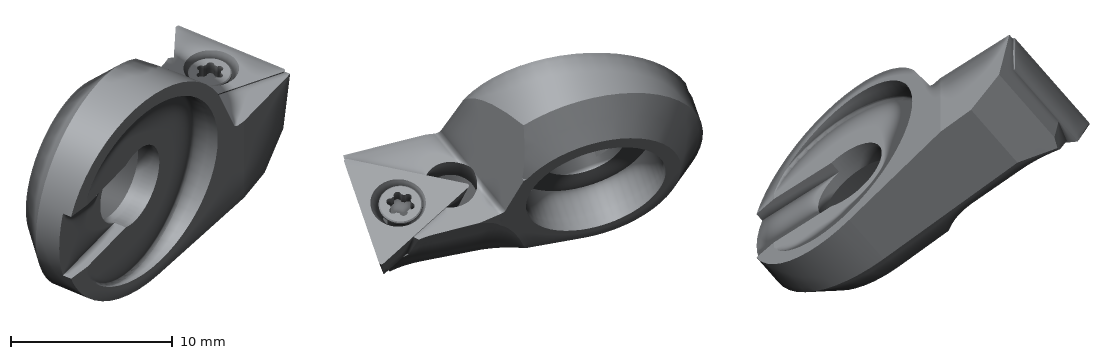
import cadquery as cq
import math


ring_radius = 7.5
edge_chamfer = 2.0
head_bore_diameter = 9.0
head_bore_depth = 3.0
through_bore_diameter = 5.5
recess_radius = 6.51
recess_floor_x = 4.55
recess_fillet = 0.2
key_slot_floor_x = 3.71
key_slot_width = 5.03

back_x = 6.82
back_corner_y = 8.95
back_angle = 8.9

arm_floor_z = -0.1
arm_top_z = 3.17
arm_root_y = 3.71
arm_end_y = 14.27
arm_end_low = (13.48, -3.98)
arm_bottom_y = 11.32
arm_bottom_angle = 7.8
arm_shoulder_y = 6.12
arm_shoulder_slope = 0.18

end_facet_y = 13.15
end_facet_skew = 0.3
end_facet_lean_angle = 11.0
seat_corner_x = -0.35
seat_corner_y = 11.5
seat_corner_size = 0.65

wall_y = 5.92
wall_skew = 0.33
wall_lean_angle = 20.5
wall_fillet = 0.42

side_x = -0.28
side_slope = 0.25
side_drift = 0.08
side_rear_y = 6.84
side_front_y = 10.4
side_rear_radius = 4.37
side_front_radius = 6.12
side_flare = 3.05

insert_x = 2.5
insert_y = 12.0
insert_inradius = 2.35
insert_thickness = 2.43
insert_flank_offset = 0.45
nose_radius = 0.164
nose_radius_bottom = 0.02
tip_relief_x = 2.9
tip_relief_y = 8.5
tip_relief_diameter = 3.3
tip_relief_depth = 1.64
drill_point_angle = 118.0

screw_offset = 0.15
screw_y = insert_y - screw_offset
countersink_diameter = 3.43
countersink_depth = 1.31
head_diameter = 2.7
head_top_diameter = 2.55
head_top_z = -0.17
head_edge_height = 0.07
head_rim_height = 0.13
insert_hole_diameter = 2.0
shank_diameter = 1.6
shank_end_z = -4.15
socket_core_diameter = 1.35
lobe_count = 6
lobe_radius = 0.25
lobe_pitch_radius = 0.65
socket_depth = 0.87

reach = 26.22


def frustum(x, y, z_bottom, z_top, d_bottom, d_top):
    """Vertical cone from d_bottom to d_top; an end of zero diameter is a point."""
    height = z_top - z_bottom
    cone = cq.Solid.makeCone(d_bottom / 2, d_top / 2, height, cq.Vector(x, y, z_bottom))
    return cq.Workplane(obj=cone)


def cylinder(x, y, z_bottom, z_top, diameter):
    """Vertical cylinder."""
    base = cq.Workplane("XY", origin=(x, y, z_bottom))
    return base.circle(diameter / 2).extrude(z_top - z_bottom)


def insert_section(wp, inradius, nose):
    """Rounded triangle pointing to -Y, drawn about the insert axis."""
    tangent = nose * math.sqrt(3)
    corner_radius = 2 * inradius
    corners = [
        (corner_radius * math.cos(math.radians(a)), corner_radius * math.sin(math.radians(a)))
        for a in (30, 150, 270)
    ]
    side = inradius * 2 * math.sqrt(3)
    for i, corner in enumerate(corners):
        previous = corners[i - 1]
        following = corners[(i + 1) % 3]
        start = [c + (p - c) * tangent / side for c, p in zip(corner, previous)]
        end = [c + (f - c) * tangent / side for c, f in zip(corner, following)]
        middle = [c * (corner_radius - nose) / corner_radius for c in corner]
        wp = wp.moveTo(*start) if i == 0 else wp.lineTo(*start)
        wp = wp.threePointArc(tuple(middle), tuple(end))
    return wp.close()


def make_insert_blank():
    top = insert_section(
        cq.Workplane("XY", origin=(insert_x, insert_y, 0)), insert_inradius, nose_radius)
    both = insert_section(
        top.workplane(offset=-insert_thickness),
        insert_inradius - insert_flank_offset, nose_radius_bottom)
    return both.loft(ruled=True)


def make_insert():
    at = (insert_x, insert_y)
    countersink = frustum(*at, -countersink_depth, 0, insert_hole_diameter, countersink_diameter)
    hole = cylinder(*at, -insert_thickness, -countersink_depth, insert_hole_diameter)
    return make_insert_blank().cut(countersink).cut(hole)


def make_socket():
    base = cq.Workplane("XY", origin=(insert_x, screw_y, head_top_z))
    socket = base.circle(socket_core_diameter / 2).extrude(-socket_depth)
    lobes = base.polarArray(lobe_pitch_radius, 0, 360, lobe_count).circle(lobe_radius)
    return socket.union(lobes.extrude(-socket_depth))


def make_screw():
    at = (insert_x, screw_y)
    edge_z = head_top_z - head_edge_height
    head_edge = frustum(*at, edge_z, head_top_z, head_diameter, head_top_diameter)
    rim_z = edge_z - head_rim_height
    rim = cylinder(*at, rim_z, edge_z, head_diameter)
    cone_slope = (countersink_diameter - insert_hole_diameter) / countersink_depth
    cone_end_z = rim_z - (head_diameter - shank_diameter) / cone_slope
    cone = frustum(*at, cone_end_z, rim_z, shank_diameter, head_diameter)
    shank = cylinder(*at, shank_end_z, cone_end_z, shank_diameter)
    return rim.union(head_edge).union(cone).union(shank).cut(make_socket())


def make_ring_stock():
    ring = cq.Workplane("YZ").circle(ring_radius).extrude(back_x)
    return ring.faces("<X").chamfer(edge_chamfer)


def make_arm_stock():
    """Arm whose underside is tangent to the ring and shares its edge chamfer."""
    angle = math.radians(arm_bottom_angle)
    tangent_point = (ring_radius * math.sin(angle), -ring_radius * math.cos(angle))
    bottom_z = tangent_point[1] + (arm_bottom_y - tangent_point[0]) * math.tan(angle)
    arm = (
        cq.Workplane("YZ")
        .polyline([(0, 0), (arm_root_y, arm_top_z), (arm_end_y, arm_top_z), (arm_end_y, arm_floor_z),
                   arm_end_low, (arm_bottom_y, bottom_z), tangent_point])
        .close()
        .extrude(back_x)
    )
    edge_middle = (0, (arm_bottom_y + tangent_point[0]) / 2, (bottom_z + tangent_point[1]) / 2)
    return arm.edges(cq.NearestToPointSelector(edge_middle)).chamfer(edge_chamfer)


def make_shoulder():
    """Wedge that widens the arm beyond the clamping face toward the insert."""
    width = (arm_end_y - arm_shoulder_y) * arm_shoulder_slope
    wedge = (
        cq.Workplane("XY", origin=(0, 0, arm_floor_z))
        .polyline([(0, arm_shoulder_y), (0, arm_end_y), (-width, arm_end_y)])
        .close()
        .extrude(-reach)
    )
    end_slope = (
        cq.Workplane("YZ")
        .polyline([(0, arm_floor_z), (arm_end_y, arm_floor_z), arm_end_low,
                   (0, arm_end_low[1])])
        .close()
        .extrude(reach, both=True)
    )
    return wedge.intersect(end_slope)


def make_side_clearance():
    """Cutter for the leaning side: flat in the middle, flaring out at both ends."""
    rise = cq.Vector(-side_slope, -side_drift, 1)
    across = cq.Vector(1, 0, side_slope)
    plane = cq.Plane(origin=(side_x, 0, 0), xDir=across, normal=rise)

    def flare_point(radius, depth):
        return math.sqrt(2 * radius * depth - depth ** 2)

    mid_flare = side_flare / 3
    return (
        cq.Workplane(plane)
        .moveTo(-side_flare, side_rear_y - flare_point(side_rear_radius, side_flare))
        .threePointArc(
            (-mid_flare, side_rear_y - flare_point(side_rear_radius, mid_flare)),
            (0, side_rear_y))
        .lineTo(0, side_front_y)
        .threePointArc(
            (-mid_flare, side_front_y + flare_point(side_front_radius, mid_flare)),
            (-side_flare, side_front_y + flare_point(side_front_radius, side_flare)))
        .close()
        .extrude(reach, both=True)
    )


def make_skewed_cutter(origin, skew, outline):
    """Long cutter along (1, skew, 0); its outline is drawn in distances across and up."""
    plane = cq.Plane(origin=origin, xDir=(-skew, 1, 0), normal=(1, skew, 0))
    return cq.Workplane(plane).polyline(outline).close().extrude(reach, both=True)


def make_arm_clearance():
    """Cutter above the arm floor, ending at the skewed, leaning wall."""
    foot = (0, wall_y, arm_floor_z)
    lean = reach * math.tan(math.radians(wall_lean_angle))
    outline = [(0, 0), (reach, 0), (reach, reach), (-lean, reach)]
    cutter = make_skewed_cutter(foot, wall_skew, outline)
    return cutter.edges(cq.NearestToPointSelector(foot)).fillet(wall_fillet)


def make_end_facet():
    """Cutter that turns the arm's end face toward the cutting side at the same lean."""
    origin = (0, end_facet_y, arm_end_low[1])
    lean = reach * math.tan(math.radians(end_facet_lean_angle))
    outline = [(-lean, -reach), (reach, -reach), (reach, reach), (lean, reach)]
    return make_skewed_cutter(origin, end_facet_skew, outline)


def make_seat_corner():
    """Cutter that breaks the thin corner beside the insert at 45 degrees."""
    return (
        cq.Workplane("XY", origin=(0, 0, -insert_thickness))
        .moveTo(seat_corner_x - reach, seat_corner_y - reach)
        .lineTo(seat_corner_x + seat_corner_size, seat_corner_y + seat_corner_size)
        .line(0, reach)
        .lineTo(seat_corner_x - reach, seat_corner_y + reach)
        .close()
        .extrude(reach)
    )


def make_back_limit():
    """Everything in front of the holder's back faces."""
    ring_end_x = back_x - (back_corner_y + reach) * math.tan(math.radians(back_angle))
    return (
        cq.Workplane("XY")
        .polyline([(-reach, -reach), (ring_end_x, -reach), (back_x, back_corner_y),
                   (back_x, reach), (-reach, reach)])
        .close()
        .extrude(reach, both=True)
    )


def cut_ring_features(holder):
    ring_axis = cq.Workplane("YZ")
    head_bore = ring_axis.circle(head_bore_diameter / 2).extrude(head_bore_depth)
    through_bore = ring_axis.circle(through_bore_diameter / 2).extrude(back_x)
    recess = ring_axis.workplane(offset=recess_floor_x).circle(recess_radius).extrude(reach)
    recess = recess.faces("<X").edges().fillet(recess_fillet)
    key_slot = cq.Workplane("XY").box(
        back_x, ring_radius, key_slot_width, centered=(False, False, True)
    ).translate((key_slot_floor_x, -ring_radius, 0))
    return holder.cut(head_bore).cut(through_bore).cut(recess).cut(key_slot)


def cut_insert_seat(holder):
    relief_at = (tip_relief_x, tip_relief_y)
    point_height = tip_relief_diameter / 2 / math.tan(math.radians(drill_point_angle / 2))
    relief_point = frustum(
        *relief_at, -tip_relief_depth - point_height, -tip_relief_depth, 0, tip_relief_diameter)
    tip_relief = cylinder(*relief_at, -tip_relief_depth, arm_top_z, tip_relief_diameter)
    screw_hole = cylinder(
        insert_x, screw_y, shank_end_z, -insert_thickness, shank_diameter)
    return holder.cut(make_insert_blank()).cut(tip_relief).cut(relief_point).cut(screw_hole)


def make_holder():
    holder = make_ring_stock().union(make_arm_stock()).union(make_shoulder())
    holder = holder.cut(make_arm_clearance()).cut(make_side_clearance())
    holder = holder.cut(make_end_facet()).cut(make_seat_corner())
    holder = holder.intersect(make_back_limit())
    return cut_insert_seat(cut_ring_features(holder))


holder = make_holder()
insert = make_insert()
screw = make_screw()
result = cq.Compound.makeCompound([holder.val(), insert.val(), screw.val()])